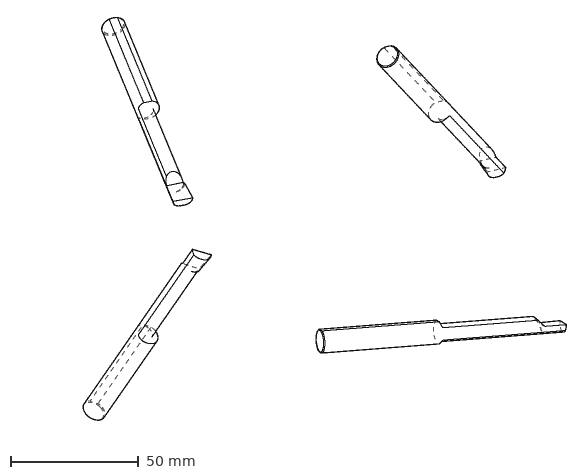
import cadquery as cq
import math

overall_length = 101.6

shank_diameter = 9.525
shank_radius = shank_diameter / 2
shank_length = 49.3
shank_chamfer = 0.4
flat_depth = 0.3175
flat_height = shank_radius - flat_depth

neck_radius = 3.57
neck_offset = -1.5
neck_fillet = 0.8

floor_height = 0.0
floor_start = 92.2
pocket_slope_angle = 45.0

tip_start = floor_start + 0.5
tip_y = 3.3
side_relief_angle = 5.0
end_relief_angle = 2.0
end_clearance_angle = 6.0


def make_shank():
    shank = cq.Workplane("YZ").circle(shank_radius).extrude(shank_length)
    shank = shank.faces("<X").chamfer(shank_chamfer)
    flat_cutter = (
        cq.Workplane("XY")
        .workplane(offset=flat_height)
        .rect(2 * shank_length, shank_diameter)
        .extrude(shank_radius)
    )
    return shank.cut(flat_cutter)


def make_neck():
    """Turned neck with a concave fillet at the shank shoulder."""
    fillet_end = shank_length + neck_fillet
    fillet_reach = neck_fillet * (1 - math.sqrt(0.5))
    neck = (
        cq.Workplane("XY")
        .moveTo(shank_length, 0)
        .lineTo(shank_length, neck_radius + neck_fillet)
        .threePointArc(
            (shank_length + fillet_reach, neck_radius + fillet_reach),
            (fillet_end, neck_radius),
        )
        .lineTo(overall_length, neck_radius)
        .lineTo(overall_length, 0)
        .close()
        .revolve(360, (0, 0, 0), (1, 0, 0))
    )
    return neck.translate((0, neck_offset, 0))


def make_tip_flare():
    """Round bar angled outward so that its +Y edge ends at the cutting point."""
    angle = math.radians(side_relief_angle)
    direction = cq.Vector(math.cos(angle), math.sin(angle), 0)
    outward = cq.Vector(-math.sin(angle), math.cos(angle), 0)
    tip_point = cq.Vector(overall_length, tip_y, floor_height)
    tip_length = overall_length - tip_start
    flare_length = 2 * tip_length
    axis_start = tip_point - outward * neck_radius - direction * (flare_length / 2)
    bar = cq.Solid.makeCylinder(neck_radius, flare_length, axis_start, direction)
    tip_zone = cq.Workplane("XY").box(
        tip_length, shank_diameter, shank_diameter, centered=(False, True, True)
    )
    return cq.Workplane(bar).intersect(tip_zone.translate((tip_start, 0, 0)))


def make_pocket_cutter():
    """Prism above the tip: level floor and sloping rear face."""
    rise = shank_radius - floor_height
    run = rise / math.tan(math.radians(pocket_slope_angle))
    return (
        cq.Workplane("XZ")
        .moveTo(floor_start, floor_height)
        .lineTo(floor_start - run, shank_radius)
        .lineTo(overall_length, shank_radius)
        .lineTo(overall_length, floor_height)
        .close()
        .extrude(shank_radius, both=True)
    )


def make_end_cutter():
    """Block beyond the end face, leaning back toward -Y and downward from the tip."""
    block_size = 4 * shank_diameter
    block = cq.Workplane("XY").box(block_size, block_size, block_size, centered=(False, True, True))
    block = block.rotate((0, 0, 0), (0, 1, 0), end_clearance_angle)
    block = block.rotate((0, 0, 0), (0, 0, 1), -end_relief_angle)
    return block.translate((overall_length, tip_y, floor_height))


shank_envelope = cq.Workplane("YZ").circle(shank_radius).extrude(overall_length)
working_end = make_neck().union(make_tip_flare())
working_end = working_end.intersect(shank_envelope)
working_end = working_end.cut(make_pocket_cutter()).cut(make_end_cutter())

result = make_shank().union(working_end)